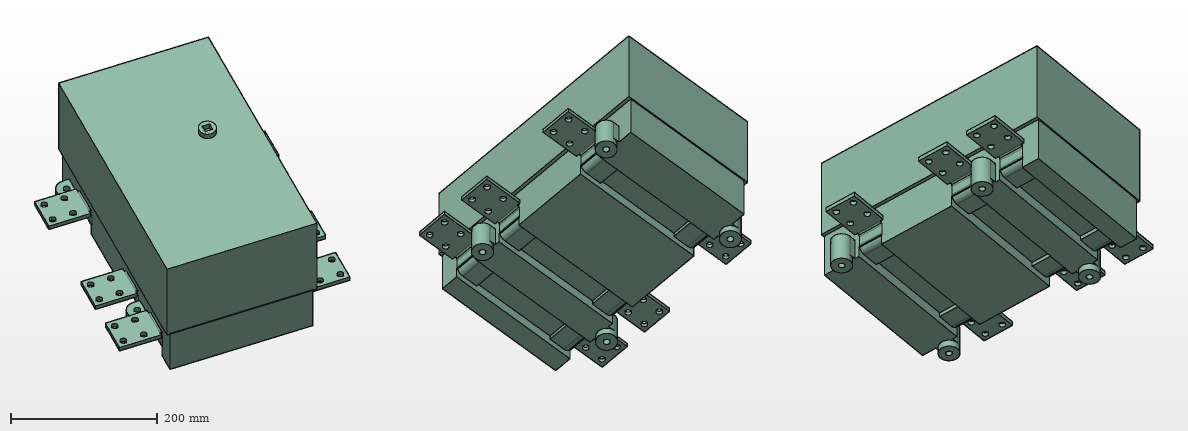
import cadquery as cq

cover_length = 381.0
cover_width = 222.5
cover_bottom = 83.0
cover_top = 214.0
overall_height = 222.5
overall_width = 342.0

boss_diameter = 24.8
boss_x = -26.3
boss_y = 40.5
socket_side = 11.0
socket_depth = overall_height - cover_top

base_length = 378.0
base_width = 212.2
base_bottom = 11.0

lug_diameter = 30.0
lug_hole_diameter = 9.0
lug_top = 45.0
lug_x_positions = (-150.5, 97.5)
lug_y = 116.2

terminal_x_positions = (-108.2, 55.2, 140.2)
bar_thickness = 7.0
pad_top = 58.3
pad_width = 50.3
pad_inner_y = 109.0
bar_width = 40.0
bar_bottom = 22.0
bend_inner_radius = 4.0
bend_outer_radius = bend_inner_radius + bar_thickness
bar_inner_y = 68.5
terminal_hole_diameter = 9.0
terminal_hole_pitch = 30.0
terminal_hole_margin = 10.0

pad_outer_y = overall_width / 2
pad_length = pad_outer_y - pad_inner_y
pad_bottom = pad_top - bar_thickness
web_outer_y = pad_inner_y - bend_inner_radius
web_inner_y = web_outer_y - bar_thickness
bar_top = bar_bottom + bar_thickness
hole_pattern_y = pad_outer_y - terminal_hole_margin - terminal_hole_pitch / 2


def make_block(length, width, bottom, top):
    """Box centred in plan, between two heights."""
    return (
        cq.Workplane("XY")
        .workplane(offset=bottom)
        .rect(length, width)
        .extrude(top - bottom)
    )


def make_cover():
    """Upper box with a round boss that holds a square drive socket."""
    boss = (
        cq.Workplane("XY")
        .workplane(offset=cover_top)
        .center(boss_x, boss_y)
        .circle(boss_diameter / 2)
        .extrude(overall_height - cover_top)
    )
    socket = (
        cq.Workplane("XY")
        .workplane(offset=overall_height - socket_depth)
        .center(boss_x, boss_y)
        .rect(socket_side, socket_side)
        .extrude(socket_depth)
    )
    return make_block(cover_length, cover_width, cover_bottom, cover_top).union(boss).cut(socket)


def make_lug(x, y):
    """Round foot joined to the base by a flat-sided web that stops at the base underside."""
    foot = cq.Workplane("XY").center(x, y).circle(lug_diameter / 2).extrude(lug_top)
    web = (
        cq.Workplane("XY")
        .workplane(offset=base_bottom)
        .center(x, y / 2)
        .rect(lug_diameter, lug_y)
        .extrude(lug_top - base_bottom)
    )
    return foot.union(web)


def make_base(terminals):
    """Lower box with four drilled mounting lugs and a through slot for each pole;
    above the slot, each terminal fills a matching channel."""
    base = make_block(base_length, base_width, base_bottom, cover_bottom)
    lug_centres = [(x, side * lug_y) for x in lug_x_positions for side in (-1, 1)]
    for x, y in lug_centres:
        base = base.union(make_lug(x, y))
    lug_holes = (
        cq.Workplane("XY")
        .pushPoints(lug_centres)
        .circle(lug_hole_diameter / 2)
        .extrude(lug_top)
    )
    slots = (
        cq.Workplane("XY")
        .workplane(offset=base_bottom)
        .pushPoints([(x, 0) for x in terminal_x_positions])
        .rect(bar_width, base_width)
        .extrude(bar_top - base_bottom)
    )
    base = base.cut(lug_holes).cut(slots)
    for terminal in terminals:
        base = base.cut(terminal)
    return base


def make_terminal():
    """Z-bent bar with a wide drilled pad, on the +Y side at X = 0."""
    bar = (
        cq.Workplane("YZ")
        .moveTo(pad_inner_y, pad_top)
        .radiusArc((web_inner_y, pad_bottom - bend_inner_radius), -bend_outer_radius)
        .lineTo(web_inner_y, bar_bottom + bend_outer_radius)
        .radiusArc((web_inner_y - bend_inner_radius, bar_top), bend_inner_radius)
        .lineTo(bar_inner_y, bar_top)
        .lineTo(bar_inner_y, bar_bottom)
        .lineTo(web_inner_y - bend_inner_radius, bar_bottom)
        .radiusArc((web_outer_y, bar_bottom + bend_outer_radius), -bend_outer_radius)
        .lineTo(web_outer_y, pad_bottom - bend_inner_radius)
        .radiusArc((pad_inner_y, pad_bottom), bend_inner_radius)
        .close()
        .extrude(bar_width / 2, both=True)
    )
    pad = (
        cq.Workplane("XY")
        .workplane(offset=pad_bottom)
        .center(0, (pad_inner_y + pad_outer_y) / 2)
        .rect(pad_width, pad_length)
        .extrude(bar_thickness)
    )
    holes = (
        cq.Workplane("XY")
        .workplane(offset=pad_bottom)
        .center(0, hole_pattern_y)
        .rect(terminal_hole_pitch, terminal_hole_pitch, forConstruction=True)
        .vertices()
        .circle(terminal_hole_diameter / 2)
        .extrude(bar_thickness)
    )
    return bar.union(pad).cut(holes)


terminals = []
for terminal_x in terminal_x_positions:
    rear_terminal = make_terminal().translate((terminal_x, 0, 0))
    terminals.append(rear_terminal)
    terminals.append(rear_terminal.mirror("XZ"))

cover = make_cover()
base = make_base(terminals)

result = cq.Compound.makeCompound(
    [cover.val(), base.val(), *[terminal.val() for terminal in terminals]]
)